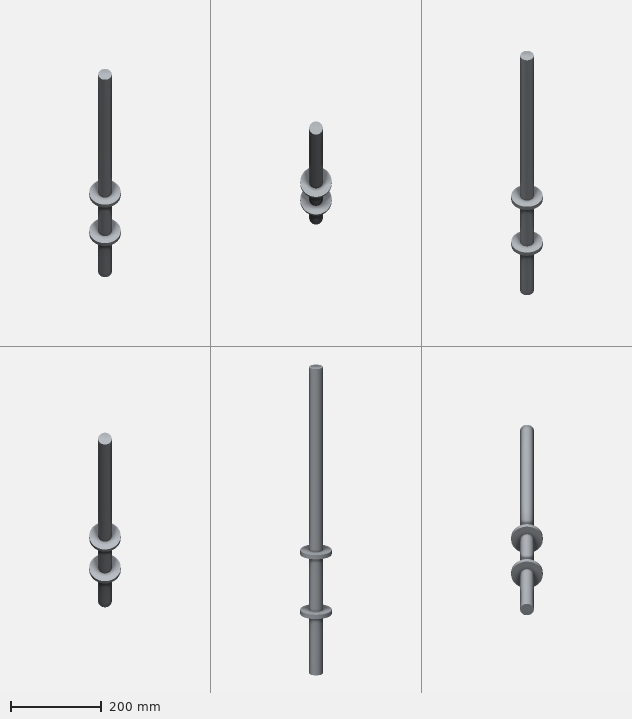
import cadquery as cq

rod_length = 720.0
rod_diameter = 30.0

collar_diameter = 70.0
collar_thickness = 10.0
collar_spacing = 140.5
lower_collar_bottom = 140.0
collar_count = 2


def make_rod():
    """Plain cylindrical rod."""
    return cq.Workplane("XY").circle(rod_diameter / 2).extrude(rod_length)


def make_collar(bottom_height):
    """Flat ring whose bore matches the rod."""
    return (
        cq.Workplane("XY", origin=(0, 0, bottom_height))
        .circle(collar_diameter / 2)
        .circle(rod_diameter / 2)
        .extrude(collar_thickness)
    )


rod = make_rod()
collars = [
    make_collar(lower_collar_bottom + index * collar_spacing)
    for index in range(collar_count)
]

result = cq.Compound.makeCompound([rod.val(), *[collar.val() for collar in collars]])